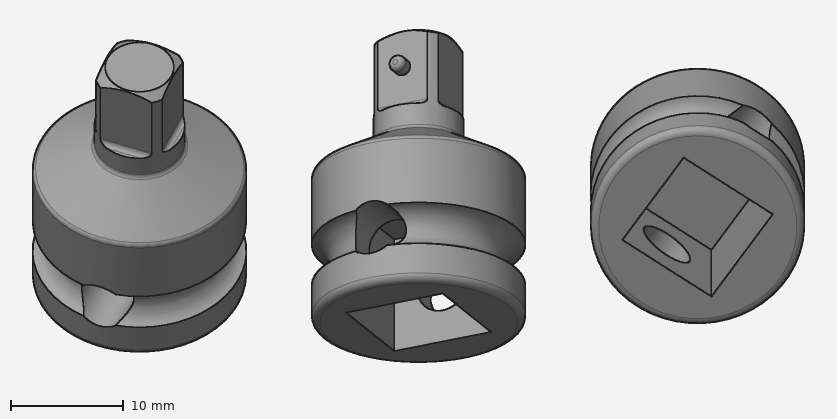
import cadquery as cq
import math

TOTAL_HEIGHT = 27.0
BODY_RADIUS = 9.5
BOTTOM_FILLET = 0.7

GROOVE_Z = 5.54
GROOVE_HALF_HEIGHT = 1.97
GROOVE_DEPTH = 1.62
CROSS_HOLE_RADIUS = 2.5

SOCKET_SIDE = 9.6
SOCKET_DEPTH = 10.8

SHOULDER_CORNER_Z = 14.0
SHOULDER_ANGLE = 30.0
SHOULDER_FILLET = 0.49
CORNER_SEARCH = 0.27

NECK_RADIUS = 4.02
NECK_TOP_Z = 19.5
SQUARE_SIDE = 6.35
SQUARE_ROOT_FILLET = 0.49
TIP_RADIUS = 3.05
TIP_ANGLE = 30.0

PIN_RADIUS = 0.75
PIN_Z = 23.44
PIN_LENGTH = 4.67
PIN_TIP_FILLET = 0.5

NECK_CORNER_Z = SHOULDER_CORNER_Z + (BODY_RADIUS - NECK_RADIUS) * math.tan(math.radians(SHOULDER_ANGLE))
TIP_EDGE_Z = TOTAL_HEIGHT - (NECK_RADIUS - TIP_RADIUS) * math.tan(math.radians(TIP_ANGLE))


def make_revolved_blank():
    """Grooved body, conical shoulder and round neck, before the square is cut."""
    profile = (
        cq.Workplane("XZ")
        .lineTo(BODY_RADIUS, 0)
        .lineTo(BODY_RADIUS, GROOVE_Z - GROOVE_HALF_HEIGHT)
        .threePointArc(
            (BODY_RADIUS - GROOVE_DEPTH, GROOVE_Z),
            (BODY_RADIUS, GROOVE_Z + GROOVE_HALF_HEIGHT),
        )
        .lineTo(BODY_RADIUS, SHOULDER_CORNER_Z)
        .lineTo(NECK_RADIUS, NECK_CORNER_Z)
        .lineTo(NECK_RADIUS, TIP_EDGE_Z)
        .lineTo(TIP_RADIUS, TOTAL_HEIGHT)
        .lineTo(0, TOTAL_HEIGHT)
        .close()
    )
    blank = profile.revolve(360, (0, 0, 0), (0, 1, 0))
    blank = blank.faces("<Z").edges().fillet(BOTTOM_FILLET)
    for corner_z in (SHOULDER_CORNER_Z, NECK_CORNER_Z):
        corner = cq.selectors.BoxSelector(
            (-BODY_RADIUS, -BODY_RADIUS, corner_z - CORNER_SEARCH),
            (BODY_RADIUS, BODY_RADIUS, corner_z + CORNER_SEARCH),
        )
        circle = blank.edges("%CIRCLE").edges(corner)
        blank = circle.fillet(SHOULDER_FILLET)
    return blank


def make_flat_cutter():
    """Block beside the +X flat; its rounded lower edge leaves the root fillet."""
    height = TOTAL_HEIGHT - NECK_TOP_Z
    cutter = cq.Workplane("XY").box(
        NECK_RADIUS, 2 * NECK_RADIUS, height, centered=(False, True, False)
    )
    cutter = cutter.edges("<X and <Z").fillet(SQUARE_ROOT_FILLET)
    return cutter.translate((SQUARE_SIDE / 2, 0, NECK_TOP_Z))


def make_pin():
    """Round pin with a rounded outer end."""
    pin = cq.Workplane("XZ", origin=(0, 0, PIN_Z)).circle(PIN_RADIUS).extrude(-PIN_LENGTH)
    return pin.faces(">Y").edges().fillet(PIN_TIP_FILLET)


def make_adapter():
    """Adapter body with square drive, socket, cross hole and a hole matching the pin."""
    adapter = make_revolved_blank()
    flat_cutter = make_flat_cutter()
    for angle in (0, 90, 180, 270):
        adapter = adapter.cut(flat_cutter.rotate((0, 0, 0), (0, 0, 1), angle))
    cross_hole = (
        cq.Workplane("XZ", origin=(0, 0, GROOVE_Z))
        .circle(CROSS_HOLE_RADIUS)
        .extrude(BODY_RADIUS, both=True)
    )
    pin_hole = cq.Workplane("XZ", origin=(0, 0, PIN_Z)).circle(PIN_RADIUS).extrude(-PIN_LENGTH)
    socket = cq.Workplane("XY").rect(SOCKET_SIDE, SOCKET_SIDE).extrude(SOCKET_DEPTH)
    return adapter.cut(cross_hole).cut(socket).cut(pin_hole)


adapter = make_adapter()
pin = make_pin()
result = cq.Compound.makeCompound([adapter.val(), pin.val()])